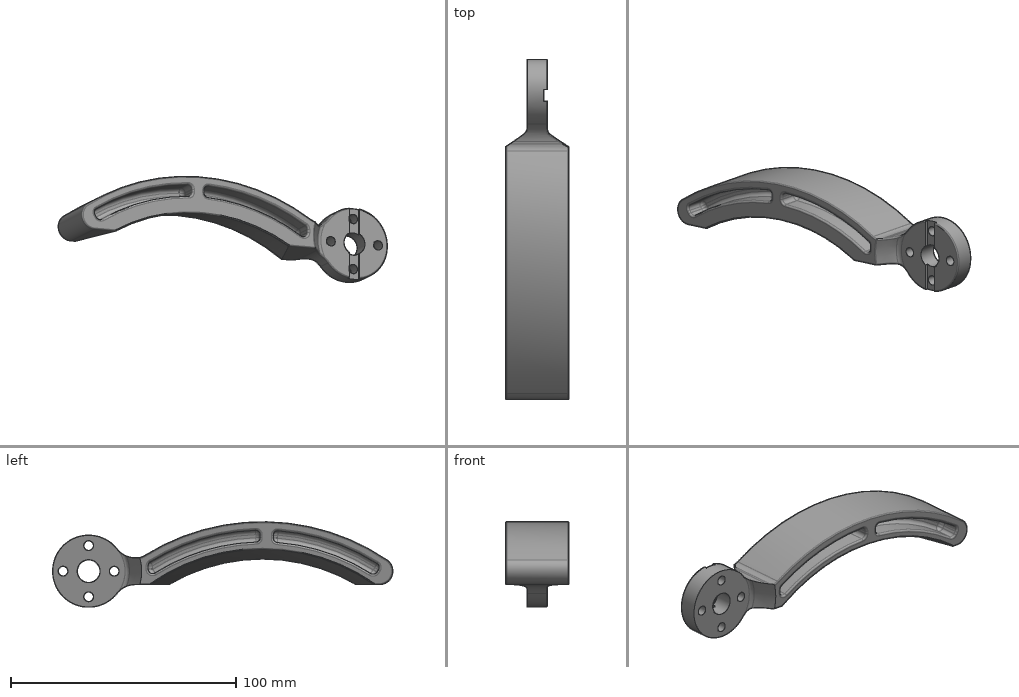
import cadquery as cq
import math

hub_radius = 16.0
hub_thickness = 9.0
bore_diameter = 10.0
bolt_hole_diameter = 4.2
bolt_circle_radius = 11.35
bolt_count = 4
key_slot_width = 5.0
key_slot_depth = 1.6

total_length = 150.97
total_height = 37.96
arm_width = 28.0
neck_half_height = 6.0
hub_blend_radius = 10.0
back_blend_radius = 6.0
edge_fillet = 0.5

back_radius = 98.5
bow_y = -77.1
bow_z = total_height - hub_radius - back_radius
tip_y = hub_radius - total_length

underside_left_radius = 86.3
underside_right_radius = 81.8

shoulder_foot_radius = 17.4
shoulder_rim_radius = 23.5
shoulder_blend_radius = 2.3

pocket_outer_radius = 94.7
pocket_inner_radius = 89.5
pocket_web_y = -79.0
pocket_web_thickness = 5.8
pocket_hub_end_y = -26.4
pocket_tip_angle = 33.7
pocket_corner_radius = 2.0
pocket_floor_fillet = 1.9
pocket_mouth_fillet = 0.9
pocket_depth = 10.5

half_width = arm_width / 2
half_hub = hub_thickness / 2


def side_plane(x):
    """Sketch plane facing +X at the given x; its axes are Y and Z."""
    return cq.Workplane("YZ", origin=(x, 0, 0))


def bow_height(y, radius):
    """Height of the bow arc of the given radius at y."""
    return bow_z + math.sqrt(radius**2 - (y - bow_y) ** 2)


def bow_point(radius, angle):
    """Point (y, z) on a bow arc, at an angle in degrees from the top toward the tip."""
    a = math.radians(angle)
    return (bow_y - radius * math.sin(a), bow_z + radius * math.cos(a))


def tip_round_radius():
    """Radius of the circle touching the back arc, the tip plane and the arm's flat base."""
    tip_reach = bow_y - tip_y
    base_rise = -neck_half_height - bow_z
    b = back_radius + base_rise - tip_reach
    c = tip_reach**2 + base_rise**2 - back_radius**2
    return -b + math.sqrt(b**2 - c)


def make_arm_blank():
    """Full-width outline of the arm, from the hub centre to its round tip."""
    tip_radius = tip_round_radius()
    tip_center_y = tip_y + tip_radius
    tip_center_z = tip_radius - neck_half_height
    tip_angle = math.degrees(math.atan2(bow_y - tip_center_y, tip_center_z - bow_z))
    back_start_y = bow_y + math.sqrt(back_radius**2 - (neck_half_height - bow_z) ** 2)
    arm = (
        side_plane(-half_width)
        .moveTo(0, -neck_half_height)
        .lineTo(0, neck_half_height)
        .lineTo(back_start_y, neck_half_height)
        .threePointArc(bow_point(back_radius, 0), bow_point(back_radius, tip_angle))
        .threePointArc((tip_y, tip_center_z), (tip_center_y, -neck_half_height))
        .close()
        .extrude(arm_width)
    )
    back_start = cq.selectors.NearestToPointSelector((0, back_start_y, neck_half_height))
    return arm.edges("|X").edges(back_start).fillet(back_blend_radius)


def make_underside():
    """Hollow of the bow, turned about the bow axis."""
    section = [
        (-half_width, bow_z),
        (-half_width, bow_z + underside_left_radius),
        (half_width, bow_z + underside_right_radius),
        (half_width, bow_z),
    ]
    return (
        cq.Workplane("XZ", origin=(0, bow_y, 0))
        .polyline(section)
        .close()
        .revolve(360, (0, bow_z), (1, bow_z))
    )


def make_hub_web():
    """Concave blends joining the hub rim to the top and bottom of the neck."""
    center_z = neck_half_height + hub_blend_radius
    reach = hub_radius + hub_blend_radius
    center_y = -math.sqrt(reach**2 - center_z**2)
    rim_y = center_y * hub_radius / reach
    rim_z = center_z * hub_radius / reach
    mid_angle = (math.atan2(rim_z - center_z, rim_y - center_y) - math.pi / 2) / 2
    mid_y = center_y + hub_blend_radius * math.cos(mid_angle)
    mid_z = center_z + hub_blend_radius * math.sin(mid_angle)
    return (
        side_plane(-half_width)
        .moveTo(rim_y, -rim_z)
        .lineTo(rim_y, rim_z)
        .threePointArc((mid_y, mid_z), (center_y, neck_half_height))
        .lineTo(center_y, -neck_half_height)
        .threePointArc((mid_y, -mid_z), (rim_y, -rim_z))
        .close()
        .extrude(arm_width)
    )


def make_shoulder_cut():
    """Cone about the hub axis that clears the +X side of the hub."""
    cutter = (
        cq.Workplane("XY")
        .moveTo(half_hub, 0)
        .lineTo(half_hub, shoulder_foot_radius)
        .lineTo(half_width, shoulder_rim_radius)
        .lineTo(half_width, 0)
        .close()
        .revolve(360, (0, 0), (1, 0))
    )
    return cutter.faces("<X").edges().fillet(shoulder_blend_radius)


def make_body():
    """Arm and hub joined, with their outer edges rounded."""
    arm = make_arm_blank().cut(make_underside()).union(make_hub_web())
    arm = arm.faces("<X or >X").edges().fillet(edge_fillet)
    shoulder_cut = make_shoulder_cut()
    arm = arm.cut(shoulder_cut).cut(shoulder_cut.mirror("YZ"))
    hub = side_plane(-half_hub).circle(hub_radius).extrude(hub_thickness)
    return round_hub_edge(arm.union(hub))


def round_hub_edge(body):
    """Round the hub's +X rim; the fillet runs on along the tangent neck edges."""
    margin = 0.1
    rim = cq.selectors.BoxSelector(
        (half_hub - margin, 0, -margin),
        (half_hub + margin, hub_radius, margin),
    )
    return body.edges(rim).fillet(edge_fillet)


def pocket_blank(corners):
    """Solid between the two bow arcs; corners run outer, outer, inner, inner."""
    start, outer_end, inner_end, last = corners
    mid_y = (start[0] + outer_end[0]) / 2
    blank = (
        side_plane(-half_width)
        .moveTo(*start)
        .threePointArc((mid_y, bow_height(mid_y, pocket_outer_radius)), outer_end)
        .lineTo(*inner_end)
        .threePointArc((mid_y, bow_height(mid_y, pocket_inner_radius)), last)
        .close()
        .extrude(pocket_depth)
    )
    blank = blank.edges("|X").fillet(pocket_corner_radius)
    return blank.faces(">X").edges().fillet(pocket_floor_fillet)


def upright_end(y):
    """Outer and inner corner of a pocket end standing square at y."""
    return [(y, bow_height(y, radius)) for radius in (pocket_outer_radius, pocket_inner_radius)]


def radial_end(angle):
    """Outer and inner corner of a pocket end lying on a ray from the bow centre."""
    return [bow_point(radius, angle) for radius in (pocket_outer_radius, pocket_inner_radius)]


def cut_pockets(body):
    """Two pockets in each side face, parted by an upright web, with rounded mouths."""
    half_web = pocket_web_thickness / 2
    hub_pocket = upright_end(pocket_hub_end_y), upright_end(pocket_web_y + half_web)
    tip_pocket = upright_end(pocket_web_y - half_web), radial_end(pocket_tip_angle)
    for near, far in (hub_pocket, tip_pocket):
        blank = pocket_blank((near[0], far[0], far[1], near[1]))
        body = body.cut(blank).cut(blank.mirror("YZ"))
    for side in ("<X", ">X"):
        mouths = body.faces(side).val().innerWires()
        mouth_edges = [edge for mouth in mouths for edge in mouth.Edges()]
        body = body.newObject(mouth_edges).fillet(pocket_mouth_fillet)
    return body


def make_hub_holes():
    """Central bore and the ring of bolt holes."""
    bore = side_plane(-half_hub).circle(bore_diameter / 2).extrude(hub_thickness)
    bolt_holes = (
        side_plane(-half_hub)
        .polarArray(bolt_circle_radius, 0, 360, bolt_count)
        .circle(bolt_hole_diameter / 2)
        .extrude(hub_thickness)
    )
    return bore.union(bolt_holes)


def make_key_slot():
    """Vertical slot across the +X face of the hub."""
    slot = cq.Workplane("XY").box(key_slot_depth, key_slot_width, 2 * hub_radius)
    return slot.translate((half_hub - key_slot_depth / 2, 0, 0))


result = cut_pockets(make_body())
result = result.cut(make_hub_holes()).cut(make_key_slot())